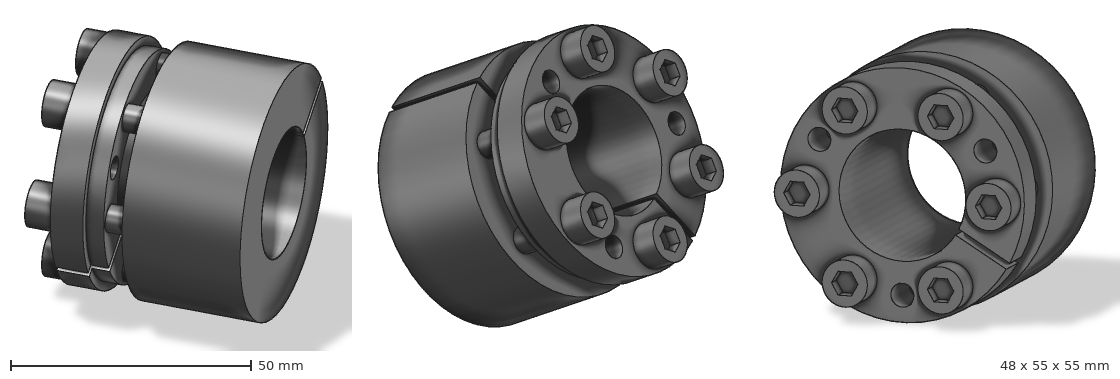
import cadquery as cq
import math


HEAD_LENGTH = 5.95
FLANGE_THICKNESS = 7.2
STEP_LENGTH = 3.9
GAP = 4.9
RING_LENGTH = 26.05

STEP_START = FLANGE_THICKNESS
STEP_END = STEP_START + STEP_LENGTH
RING_START = STEP_END + GAP
RING_END = RING_START + RING_LENGTH

RING_DIAMETER = 55.0
FLANGE_DIAMETER = 54.05
STEP_DIAMETER = 50.1
BORE_DIAMETER = 28.05
TAPER_END_WALL = 0.1
TAPER_ANGLE = 4.6
SLIT_WIDTH = 1.5
RING_SLIT_ANGLE = 30
SLEEVE_SLIT_ANGLE = RING_SLIT_ANGLE + 180

PITCH_RADIUS = 21.2
SCREW_COUNT = 6
SHANK_DIAMETER = 6.0
HEAD_DIAMETER = 10.0
SOCKET_FLATS = 5.05
SOCKET_DEPTH = 3.0
THREAD_ENGAGEMENT = 13.75
SCREW_END = RING_START + THREAD_ENGAGEMENT
JACK_HOLE_DIAMETER = 5.05
JACK_HOLE_ANGLES = [RING_SLIT_ANGLE + 120 * i for i in range(3)]
SCREW_ANGLES = [360 / SCREW_COUNT * i for i in range(SCREW_COUNT)]


def taper_radius(x):
    """Radius of the mating cone at position x; it shrinks towards +X."""
    end_radius = BORE_DIAMETER / 2 + TAPER_END_WALL
    return end_radius + (RING_END - x) * math.tan(math.radians(TAPER_ANGLE))


def pitch_point(angle):
    """(Y, Z) of a point on the pitch circle."""
    radians = math.radians(angle)
    return (PITCH_RADIUS * math.cos(radians), PITCH_RADIUS * math.sin(radians))


def cylinder(diameter, start, end, center=(0, 0)):
    """Cylinder parallel to X between two X positions."""
    return cq.Workplane("YZ", origin=(start, *center)).circle(diameter / 2).extrude(end - start)


def taper_cone(start, end):
    """Solid length of the mating cone between two X positions."""
    outline = [(start, 0), (start, taper_radius(start)), (end, taper_radius(end)), (end, 0)]
    return cq.Workplane("XY").polyline(outline).close().revolve(360, (0, 0, 0), (1, 0, 0))


def slit_cutter(angle):
    """Radial slab from the axis outwards that splits a body over its full length."""
    slab = cq.Workplane("XY").box(RING_END, RING_DIAMETER, SLIT_WIDTH, centered=(False, False, True))
    return slab.rotate((0, 0, 0), (1, 0, 0), angle)


def make_sleeve():
    """Flange, step and tapered sleeve with bore, jacking holes, screw holes and slit."""
    sleeve = cylinder(FLANGE_DIAMETER, 0, STEP_START)
    sleeve = sleeve.union(cylinder(STEP_DIAMETER, STEP_START, STEP_END))
    sleeve = sleeve.union(taper_cone(STEP_END, RING_END))
    sleeve = sleeve.cut(cylinder(BORE_DIAMETER, 0, RING_END))
    for angle in SCREW_ANGLES:
        sleeve = sleeve.cut(cylinder(SHANK_DIAMETER, 0, STEP_END, pitch_point(angle)))
    for angle in JACK_HOLE_ANGLES:
        sleeve = sleeve.cut(cylinder(JACK_HOLE_DIAMETER, 0, STEP_END, pitch_point(angle)))
    return sleeve.cut(slit_cutter(SLEEVE_SLIT_ANGLE))


def make_ring():
    """Outer ring with tapered bore, blind screw holes and slit."""
    ring = cylinder(RING_DIAMETER, RING_START, RING_END)
    ring = ring.cut(taper_cone(RING_START, RING_END))
    for angle in SCREW_ANGLES:
        ring = ring.cut(cylinder(SHANK_DIAMETER, RING_START, SCREW_END, pitch_point(angle)))
    return ring.cut(slit_cutter(RING_SLIT_ANGLE))


def make_screw(center):
    """Socket head cap screw; the hexagon has two corners in line along Y."""
    screw = cylinder(HEAD_DIAMETER, -HEAD_LENGTH, 0, center)
    screw = screw.union(cylinder(SHANK_DIAMETER, 0, SCREW_END, center))
    socket_corners = SOCKET_FLATS / math.cos(math.radians(30))
    socket_plane = cq.Workplane("YZ", origin=(-HEAD_LENGTH, *center))
    return screw.cut(socket_plane.polygon(6, socket_corners).extrude(SOCKET_DEPTH))


sleeve = make_sleeve()
ring = make_ring()
screws = [make_screw(pitch_point(angle)) for angle in SCREW_ANGLES]

result = cq.Compound.makeCompound([sleeve.val(), ring.val(), *[screw.val() for screw in screws]])